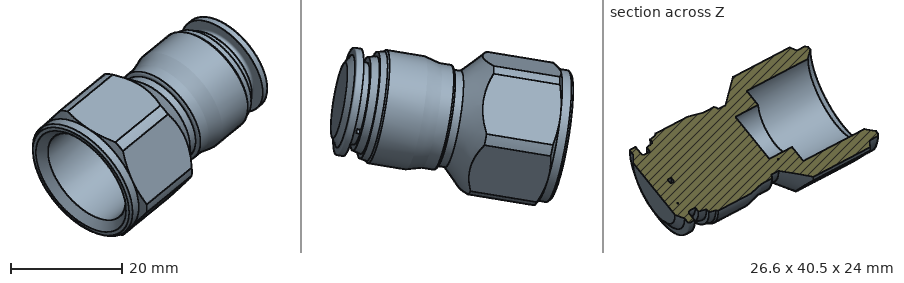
import cadquery as cq
import math

LENGTH = 40.5

ACROSS_FLATS = 24.0
ACROSS_CORNERS = 26.6
CORNER_RADIUS = ACROSS_CORNERS / 2
COLLAR_RADIUS = ACROSS_FLATS / 2
COLLAR_LENGTH = 2.1
COLLAR_CHAMFER = 0.45
NUT_CHAMFER_ANGLE = 30.0

NECK_RADIUS = 8.8
NECK_START = 19.55
NECK_END = 21.1
SLEEVE_REAR_RADIUS = 9.55
SLEEVE_REAR_ROUND_LENGTH = 0.45
SLEEVE_REAR_ROUND_MID_DROP = 0.25
SLEEVE_REAR_ROUND_MID_LENGTH = 0.15
SLEEVE_TAPER_START = 23.75
SLEEVE_TAPER_END = 26.55
SLEEVE_RADIUS = 10.33
SLEEVE_END = 33.5
SLEEVE_EDGE_CHAMFER = 0.32

STEP_1_BASE_RADIUS = SLEEVE_RADIUS - SLEEVE_EDGE_CHAMFER
STEP_1_TIP_RADIUS = 9.7
STEP_1_END = 35.07
STEP_2_BASE_RADIUS = 8.9
STEP_2_TIP_RADIUS = 8.55
STEP_2_END = 36.57

RING_NECK_RADIUS = 7.5
RING_NECK_FILLET = 0.45
FLANGE_RADIUS = 9.8
FLANGE_START = 38.1
FLANGE_END = 39.5
FLANGE_EDGE_FILLET = 0.25
RING_CONE_BASE_RADIUS = 8.45
RING_CONE_TIP_RADIUS = 6.9
SLOT_WIDTH = 0.97
SLOT_LENGTH = 0.7

BORE_RADIUS = 9.27
BORE_MOUTH_RADIUS = 10.8
BORE_DEPTH = 14.6
INNER_BORE_RADIUS = 5.55
INNER_BORE_DEPTH = 19.45


def revolve_about_axis(points):
    """Revolve a closed outline of (radius, Y) points about the Y axis."""
    return cq.Workplane("XY").polyline(points).close().revolve(360, (0, 0, 0), (0, 1, 0))


def make_nut():
    """Turned blank with 45 degree shoulder and chamfered front, trimmed to a hexagon."""
    front_chamfer = (CORNER_RADIUS - COLLAR_RADIUS) * math.tan(math.radians(NUT_CHAMFER_ANGLE))
    shoulder_length = CORNER_RADIUS - NECK_RADIUS
    blank = revolve_about_axis([
        (0, 0),
        (COLLAR_RADIUS - COLLAR_CHAMFER, 0),
        (COLLAR_RADIUS, COLLAR_CHAMFER),
        (COLLAR_RADIUS, COLLAR_LENGTH),
        (CORNER_RADIUS, COLLAR_LENGTH + front_chamfer),
        (CORNER_RADIUS, NECK_START - shoulder_length),
        (NECK_RADIUS, NECK_START),
        (0, NECK_START),
    ])
    corner_to_corner = ACROSS_FLATS / math.cos(math.radians(30))
    hexagon = cq.Workplane("XZ").polygon(6, corner_to_corner).extrude(-NECK_START)
    return blank.intersect(hexagon)


def make_sleeve():
    """Neck, bulged sleeve and its two tapered end steps."""
    rear_round_middle = (
        SLEEVE_REAR_RADIUS - SLEEVE_REAR_ROUND_MID_DROP,
        NECK_END + SLEEVE_REAR_ROUND_MID_LENGTH,
    )
    rear_round_end = (SLEEVE_REAR_RADIUS, NECK_END + SLEEVE_REAR_ROUND_LENGTH)
    return (
        cq.Workplane("XY")
        .moveTo(0, NECK_START)
        .lineTo(NECK_RADIUS, NECK_START)
        .lineTo(NECK_RADIUS, NECK_END)
        .threePointArc(rear_round_middle, rear_round_end)
        .lineTo(SLEEVE_REAR_RADIUS, SLEEVE_TAPER_START)
        .lineTo(SLEEVE_RADIUS, SLEEVE_TAPER_END)
        .lineTo(SLEEVE_RADIUS, SLEEVE_END)
        .lineTo(STEP_1_BASE_RADIUS, SLEEVE_END + SLEEVE_EDGE_CHAMFER)
        .lineTo(STEP_1_TIP_RADIUS, STEP_1_END)
        .lineTo(STEP_2_BASE_RADIUS, STEP_1_END)
        .lineTo(STEP_2_TIP_RADIUS, STEP_2_END)
        .lineTo(0, STEP_2_END)
        .close()
        .revolve(360, (0, 0, 0), (0, 1, 0))
    )



def make_release_ring():
    """Flanged ring with a conical face and a narrow slot through it along Z."""
    ring = (
        cq.Workplane("XY")
        .moveTo(0, STEP_2_END)
        .lineTo(RING_NECK_RADIUS, STEP_2_END)
        .lineTo(RING_NECK_RADIUS, FLANGE_START - RING_NECK_FILLET)
        .radiusArc((RING_NECK_RADIUS + RING_NECK_FILLET, FLANGE_START), RING_NECK_FILLET)
        .lineTo(FLANGE_RADIUS, FLANGE_START)
        .lineTo(FLANGE_RADIUS, FLANGE_END - FLANGE_EDGE_FILLET)
        .radiusArc((FLANGE_RADIUS - FLANGE_EDGE_FILLET, FLANGE_END), -FLANGE_EDGE_FILLET)
        .lineTo(RING_CONE_BASE_RADIUS, FLANGE_END)
        .lineTo(RING_CONE_TIP_RADIUS, LENGTH)
        .lineTo(0, LENGTH)
        .close()
        .revolve(360, (0, 0, 0), (0, 1, 0))
    )
    slot = (
        cq.Workplane("XY")
        .box(SLOT_WIDTH, SLOT_LENGTH, 2 * FLANGE_RADIUS)
        .translate((0, STEP_2_END + SLOT_LENGTH / 2, 0))
    )
    return ring.cut(slot)


def make_bores():
    """Main bore with a 45 degree mouth, followed by a smaller blind bore."""
    return revolve_about_axis([
        (0, 0),
        (BORE_MOUTH_RADIUS, 0),
        (BORE_RADIUS, BORE_MOUTH_RADIUS - BORE_RADIUS),
        (BORE_RADIUS, BORE_DEPTH),
        (INNER_BORE_RADIUS, BORE_DEPTH),
        (INNER_BORE_RADIUS, INNER_BORE_DEPTH),
        (0, INNER_BORE_DEPTH),
    ])


result = make_nut().union(make_sleeve()).union(make_release_ring()).cut(make_bores())